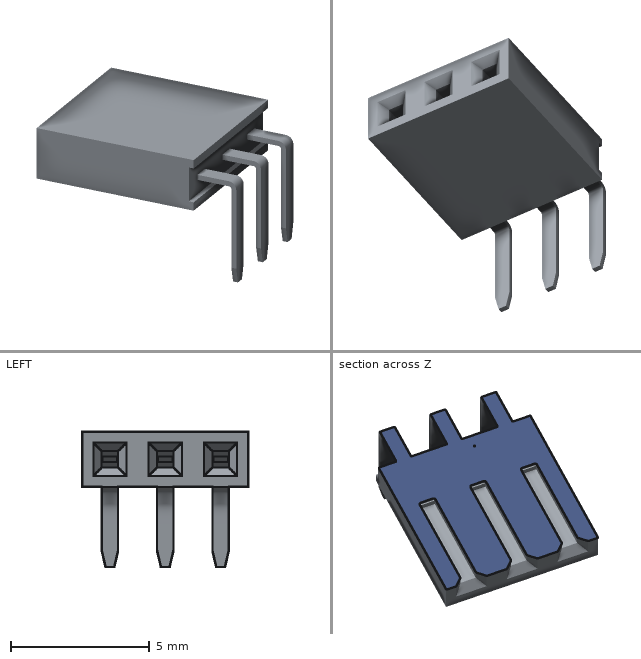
import cadquery as cq


pin_count = 3
pitch = 2.0
housing_length = 6.35
housing_width = pin_count * pitch
housing_height = 2.0
rear_recess_depth = 0.2
rear_lip_thickness = 0.33

socket_size = 0.6
funnel_mouth = 1.2
funnel_depth = (funnel_mouth - socket_size) / 2
socket_depth = 4.0
seat_floor_width = 0.52
seat_depth = (socket_size - seat_floor_width) / 2

pin_width = 0.6
pin_thickness = 0.2
pin_embed_length = 0.2
bend_outer_radius = 0.3
bend_inner_radius = bend_outer_radius - pin_thickness
overall_length = 7.72
overall_height = 4.9
pin_tip_width = 0.32
pin_taper_length = 0.6

rear_wall_x = housing_length - rear_recess_depth
pin_tip_z = housing_height / 2 - overall_height
pin_root_x = rear_wall_x - pin_embed_length
row_positions = [(i - (pin_count - 1) / 2) * pitch for i in range(pin_count)]


def make_housing():
    """Block with a full-width channel along its rear face."""
    block = cq.Workplane("XY").box(
        housing_length, housing_width, housing_height, centered=(False, True, True)
    )
    channel = cq.Workplane("XY").box(
        rear_recess_depth,
        housing_width,
        housing_height - 2 * rear_lip_thickness,
        centered=(False, True, True),
    )
    return block.cut(channel.translate((rear_wall_x, 0, 0)))


def make_socket():
    """Negative of one socket: funnel, square bore and shallow seat at the end."""
    funnel = (
        cq.Workplane("YZ")
        .rect(funnel_mouth, funnel_mouth)
        .workplane(offset=funnel_depth)
        .rect(socket_size, socket_size)
        .loft(ruled=True)
    )
    bore = (
        cq.Workplane("YZ", origin=(funnel_depth, 0, 0))
        .rect(socket_size, socket_size)
        .extrude(socket_depth - funnel_depth)
    )
    seat = (
        cq.Workplane("YZ", origin=(socket_depth, 0, 0))
        .rect(socket_size, pin_thickness)
        .workplane(offset=seat_depth)
        .rect(seat_floor_width, pin_thickness)
        .loft(ruled=True)
    )
    return funnel.union(bore).union(seat)


def make_pin():
    """Flat strip leaving the rear wall, bent down 90 degrees, with a tapered tip."""
    strip = (
        cq.Workplane("XZ")
        .moveTo(pin_root_x, pin_thickness / 2)
        .lineTo(overall_length - bend_outer_radius, pin_thickness / 2)
        .radiusArc((overall_length, pin_thickness / 2 - bend_outer_radius), bend_outer_radius)
        .lineTo(overall_length, pin_tip_z)
        .lineTo(overall_length - pin_thickness, pin_tip_z)
        .lineTo(overall_length - pin_thickness, -pin_thickness / 2 - bend_inner_radius)
        .radiusArc((overall_length - bend_outer_radius, -pin_thickness / 2), -bend_inner_radius)
        .lineTo(pin_root_x, -pin_thickness / 2)
        .close()
        .extrude(pin_width / 2, both=True)
    )
    taper_start_z = pin_tip_z + pin_taper_length
    width_profile = (
        cq.Workplane("YZ")
        .polyline(
            [
                (-pin_tip_width / 2, pin_tip_z),
                (pin_tip_width / 2, pin_tip_z),
                (pin_width / 2, taper_start_z),
                (pin_width / 2, pin_thickness / 2),
                (-pin_width / 2, pin_thickness / 2),
                (-pin_width / 2, taper_start_z),
            ]
        )
        .close()
        .extrude(overall_length)
    )
    return strip.intersect(width_profile)


result = make_housing()
for row_y in row_positions:
    result = result.cut(make_socket().translate((0, row_y, 0)))
    result = result.union(make_pin().translate((0, row_y, 0)))